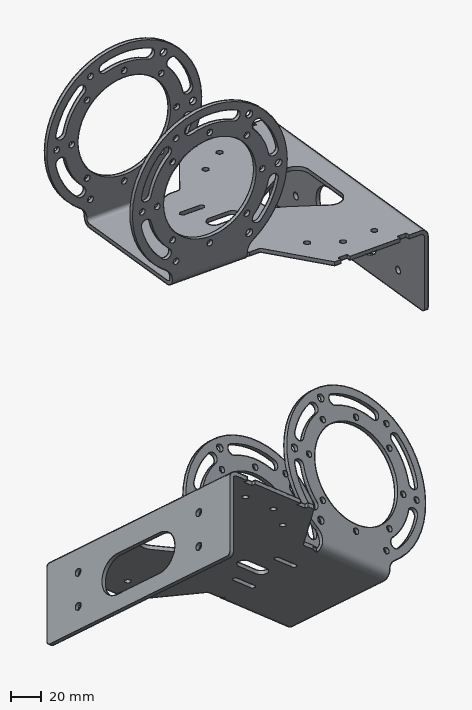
import cadquery as cq
import math


THICKNESS = 3.0
INNER_BEND = 3.0
OUTER_BEND = INNER_BEND + THICKNESS

PLATE_WIDTH = 176.0
REAR_Y = 148.0
FLANGE_DROP = 60.0
FLANGE_CORNER_RADIUS = 3.0
SHOULDER_Y = 73.0

RING_RADIUS = 62.0
RING_CENTRE_Z = 66.0
RING_BORE_RADIUS = 37.0
WALL_SPAN = 100.0
LUG_WIDTH = 60.0
LUG_FILLET = 10.0

RELIEF_X = 45.7
RELIEF_REAR_Y = 43.3
RELIEF_FRONT_Y = 34.8
RELIEF_FILLET = 2.5

NOTCH_DEPTH = 3.0
NOTCH_LENGTH = 7.0
NOTCH_CENTRES_Y = (129.0, 81.7)

BASE_HOLE_DIAMETER = 4.5
BASE_HOLES = ((70.0, 117.5), (70.0, 92.5), (57.5, 72.5))
WINDOW_CORNER_RADIUS = 10.0
WINDOW_CORNER_X = 18.0
WINDOW_REAR_Y = 117.5
WINDOW_FRONT_Y = 87.0
CENTRE_SLOT_LENGTH = 25.0
CENTRE_SLOT_WIDTH = 10.0
CENTRE_SLOT_Y = 46.0
STRAP_SLOT_LENGTH = 19.0
STRAP_SLOT_WIDTH = 4.0
STRAP_SLOT_X = 20.0
STRAP_SLOT_Y = 35.2

FLANGE_SLOT_LENGTH = 70.0
FLANGE_SLOT_HEIGHT = 30.0
FLANGE_SLOT_Z = -33.0
FLANGE_HOLE_DIAMETER = 5.3
FLANGE_HOLE_X = 58.0
FLANGE_HOLES_Z = (-17.5, -42.5)

INNER_HOLE_COUNT = 8
INNER_HOLE_CIRCLE = 42.0
SMALL_HOLE_DIAMETER = 4.5
FRONT_HOLE_CIRCLE = 54.0
FRONT_HOLE_ANGLES = (120.0, 180.0, 240.0)
LARGE_HOLE_DIAMETER = 5.5
REAR_HOLE_CIRCLE = 55.0
REAR_HOLE_ANGLES = (-55.0, 0.0, 55.0)
ARC_SLOT_CIRCLE = 52.0
ARC_SLOT_WIDTH = 8.0
ARC_SLOT_CLEARANCE = 12.0
ARC_SLOT_NEIGHBOURS = ((-55.0, 0.0), (0.0, 55.0), (55.0, 120.0), (120.0, 180.0), (180.0, 240.0))

HALF_WIDTH = PLATE_WIDTH / 2
HALF_SPAN = WALL_SPAN / 2
BEND_X = HALF_SPAN - OUTER_BEND
HALF_LUG = LUG_WIDTH / 2
FLANGE_HEIGHT = FLANGE_DROP + THICKNESS
CUT_LENGTH = 3 * PLATE_WIDTH


def polar(radius, angle):
    """Point on a circle about the ring centre, as (y, z) offsets."""
    turn = math.radians(angle)
    return (radius * math.cos(turn), radius * math.sin(turn))


def mirrored(points):
    """Points on the +X side together with their mirror images."""
    return [(side * x, y) for x, y in points for side in (1, -1)]


def make_base():
    """Flat base plate with tapered shoulders and bend reliefs."""
    half = [
        (0, REAR_Y - OUTER_BEND),
        (HALF_WIDTH, REAR_Y - OUTER_BEND),
        (HALF_WIDTH, SHOULDER_Y),
        (RELIEF_X, RELIEF_REAR_Y),
        (RELIEF_X, RELIEF_FRONT_Y),
        (BEND_X, HALF_LUG),
        (BEND_X, -HALF_LUG),
        (0, -HALF_LUG),
    ]
    right = cq.Workplane("XY").polyline(half).close().extrude(THICKNESS)
    relief_corner = cq.selectors.NearestToPointSelector((RELIEF_X, RELIEF_REAR_Y, THICKNESS / 2))
    right = right.edges("|Z").edges(relief_corner).fillet(RELIEF_FILLET)
    return right.union(right.mirror("YZ"))


def quarter_bend(plane, length, quadrant_u, quadrant_v):
    """Quarter tube of sheet metal around the plane's origin; each quadrant sign is 1 or -1."""
    diagonal = math.sqrt(0.5)
    outer, inner = OUTER_BEND, INNER_BEND
    return (
        cq.Workplane(plane)
        .moveTo(quadrant_u * inner, 0)
        .lineTo(quadrant_u * outer, 0)
        .threePointArc(
            (quadrant_u * outer * diagonal, quadrant_v * outer * diagonal),
            (0, quadrant_v * outer),
        )
        .lineTo(0, quadrant_v * inner)
        .threePointArc(
            (quadrant_u * inner * diagonal, quadrant_v * inner * diagonal),
            (quadrant_u * inner, 0),
        )
        .close()
        .extrude(length / 2, both=True)
    )


def make_flange():
    """Rear flange hanging below the base plate, with its bend."""
    bend_z = THICKNESS - OUTER_BEND
    flat_height = FLANGE_HEIGHT - OUTER_BEND
    bend = quarter_bend("YZ", PLATE_WIDTH, 1, 1).translate((0, REAR_Y - OUTER_BEND, bend_z))
    flat = (
        cq.Workplane("XY")
        .box(PLATE_WIDTH, THICKNESS, flat_height, centered=(True, False, False))
        .translate((0, REAR_Y - THICKNESS, -FLANGE_DROP))
        .edges("|Y and <Z")
        .fillet(FLANGE_CORNER_RADIUS)
    )
    return bend.union(flat)


def make_wall():
    """Ring wall on the +X side, with its bend and filleted lug."""
    bend = quarter_bend("XZ", LUG_WIDTH, 1, -1).translate((BEND_X, 0, OUTER_BEND))
    fillet_y = HALF_LUG + LUG_FILLET
    reach = RING_RADIUS + LUG_FILLET
    fillet_drop = math.sqrt(reach**2 - fillet_y**2)
    fillet_z = RING_CENTRE_Z - fillet_drop
    touch_y = fillet_y * RING_RADIUS / reach
    touch_z = RING_CENTRE_Z - fillet_drop * RING_RADIUS / reach
    mid_angle = (math.pi + math.atan2(fillet_drop, -fillet_y)) / 2
    mid_y = fillet_y + LUG_FILLET * math.cos(mid_angle)
    mid_z = fillet_z + LUG_FILLET * math.sin(mid_angle)
    wall = (
        cq.Workplane("YZ", origin=(HALF_SPAN - THICKNESS, 0, 0))
        .moveTo(-HALF_LUG, OUTER_BEND)
        .lineTo(HALF_LUG, OUTER_BEND)
        .lineTo(HALF_LUG, fillet_z)
        .threePointArc((mid_y, mid_z), (touch_y, touch_z))
        .threePointArc((0, RING_CENTRE_Z + RING_RADIUS), (-touch_y, touch_z))
        .threePointArc((-mid_y, mid_z), (-HALF_LUG, fillet_z))
        .close()
        .extrude(THICKNESS)
    )
    return bend.union(wall)


def ring_plane():
    """Work plane through the ring centres, at mid width."""
    return cq.Workplane("YZ", origin=(0, 0, RING_CENTRE_Z))


def arc_slot(start, end):
    """Cutter for a round-ended slot that follows a circle about the ring centre."""
    inner = ARC_SLOT_CIRCLE - ARC_SLOT_WIDTH / 2
    outer = ARC_SLOT_CIRCLE + ARC_SLOT_WIDTH / 2
    middle = (start + end) / 2
    cap_angle = 2 * math.degrees(math.asin(ARC_SLOT_WIDTH / (4 * ARC_SLOT_CIRCLE)))
    return (
        ring_plane()
        .moveTo(*polar(inner, start))
        .threePointArc(polar(inner, middle), polar(inner, end))
        .threePointArc(polar(ARC_SLOT_CIRCLE, end + cap_angle), polar(outer, end))
        .threePointArc(polar(outer, middle), polar(outer, start))
        .threePointArc(polar(ARC_SLOT_CIRCLE, start - cap_angle), polar(inner, start))
        .close()
        .extrude(CUT_LENGTH / 2, both=True)
    )


def ring_holes(circle, angles, diameter):
    """Cutter for round holes on a circle about the ring centre."""
    points = [polar(circle, angle) for angle in angles]
    return ring_plane().pushPoints(points).circle(diameter / 2).extrude(CUT_LENGTH / 2, both=True)


def cut_rings(body):
    """Bore, bolt holes and arc slots, cut through both rings at once."""
    body = body.cut(ring_plane().circle(RING_BORE_RADIUS).extrude(CUT_LENGTH / 2, both=True))
    inner_angles = [i * 360 / INNER_HOLE_COUNT for i in range(INNER_HOLE_COUNT)]
    body = body.cut(ring_holes(INNER_HOLE_CIRCLE, inner_angles, SMALL_HOLE_DIAMETER))
    body = body.cut(ring_holes(FRONT_HOLE_CIRCLE, FRONT_HOLE_ANGLES, SMALL_HOLE_DIAMETER))
    body = body.cut(ring_holes(REAR_HOLE_CIRCLE, REAR_HOLE_ANGLES, LARGE_HOLE_DIAMETER))
    for before, after in ARC_SLOT_NEIGHBOURS:
        body = body.cut(arc_slot(before + ARC_SLOT_CLEARANCE, after - ARC_SLOT_CLEARANCE))
    return body


def base_cutter(outline):
    """Turn a closed XY outline into a cutter through the base plate only."""
    return outline.extrude(THICKNESS)


def cut_base(body):
    """Notches, holes, window and slots through the base plate."""
    plane = cq.Workplane("XY")
    notches = mirrored([(HALF_WIDTH, y) for y in NOTCH_CENTRES_Y])
    body = body.cut(base_cutter(plane.pushPoints(notches).rect(2 * NOTCH_DEPTH, NOTCH_LENGTH)))
    holes = mirrored(BASE_HOLES)
    body = body.cut(base_cutter(plane.pushPoints(holes).circle(BASE_HOLE_DIAMETER / 2)))
    window_corners = [
        (-WINDOW_CORNER_X, WINDOW_REAR_Y),
        (WINDOW_CORNER_X, WINDOW_REAR_Y),
        (0, WINDOW_FRONT_Y),
    ]
    window = plane.polyline(window_corners).close().offset2D(WINDOW_CORNER_RADIUS)
    body = body.cut(base_cutter(window))
    centre_slot = plane.center(0, CENTRE_SLOT_Y).slot2D(CENTRE_SLOT_LENGTH, CENTRE_SLOT_WIDTH, 90)
    body = body.cut(base_cutter(centre_slot))
    strap_points = mirrored([(STRAP_SLOT_X, STRAP_SLOT_Y)])
    strap_slots = plane.pushPoints(strap_points).slot2D(STRAP_SLOT_LENGTH, STRAP_SLOT_WIDTH, 90)
    return body.cut(base_cutter(strap_slots))


def cut_flange(body):
    """Hand slot and mounting holes through the rear flange."""
    plane = cq.Workplane("XZ", origin=(0, REAR_Y, 0))
    slot = plane.center(0, FLANGE_SLOT_Z).slot2D(FLANGE_SLOT_LENGTH, FLANGE_SLOT_HEIGHT)
    body = body.cut(slot.extrude(THICKNESS))
    points = mirrored([(FLANGE_HOLE_X, z) for z in FLANGE_HOLES_Z])
    holes = plane.pushPoints(points).circle(FLANGE_HOLE_DIAMETER / 2)
    return body.cut(holes.extrude(THICKNESS))


wall = make_wall()
walls = cut_rings(wall.union(wall.mirror("YZ")))
result = cut_flange(cut_base(make_base().union(make_flange()).union(walls)))